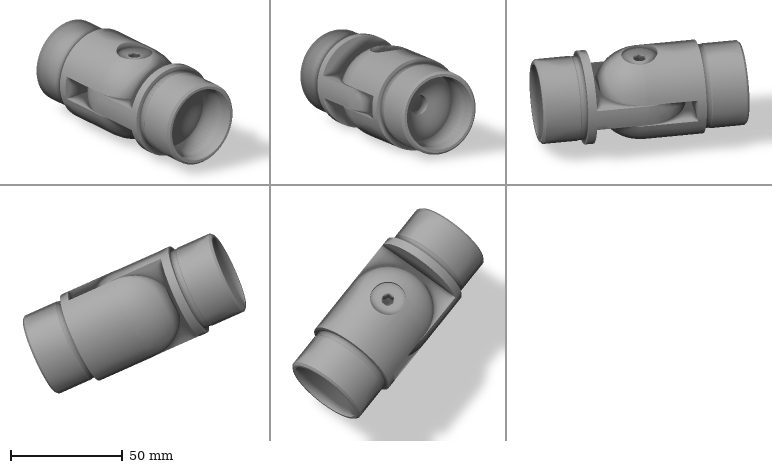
import cadquery as cq
import math

total_length = 94.0
body_diameter = 42.4
body_radius = body_diameter / 2
half_length = total_length / 2

spigot_radius = 19.2
bore_radius = 16.9
end_chamfer = 1.0
shoulder_x = 27.0
neck_radius = 18.9
neck_end_x = 29.7
neck_taper_length = 0.4
bore_floor_x = 28.0

wall_x = 23.0
slot_half_height = 5.45
web_hole_radius = 4.5
tongue_half_height = 5.0
fork_tip_x = 19.1

shaft_radius = 4.2
shaft_end_z = -14.1
head_radius = 8.1
head_top_z = 18.2
head_height = 7.5
head_bottom_z = head_top_z - head_height
socket_width = 5.0
socket_depth = 5.0
socket_countersink_radius = 3.0
socket_turn = 30.0
socket_tip_angle = 118.0


def cylinder_z(radius, bottom_z, top_z):
    """Cylinder on the hinge axis between two heights."""
    return cq.Workplane("XY").workplane(offset=bottom_z).circle(radius).extrude(top_z - bottom_z)


def slab(x_start, x_end, half_height):
    """Block wider than the body in Y, centred on the XY plane."""
    return cq.Workplane("XY").box(
        x_end - x_start, 2 * total_length, 2 * half_height, centered=(False, True, True)
    ).translate((x_start, 0, 0))


def revolved_end():
    """Half of the joint on +X: round-nosed body with the hollow spigot, solid of revolution about X."""
    nose_mid = body_radius * math.sqrt(0.5)
    return (
        cq.Workplane("XY")
        .moveTo(-body_radius, 0)
        .threePointArc((-nose_mid, nose_mid), (0, body_radius))
        .lineTo(shoulder_x, body_radius)
        .lineTo(shoulder_x, neck_radius)
        .lineTo(neck_end_x, neck_radius)
        .lineTo(neck_end_x + neck_taper_length, spigot_radius)
        .lineTo(half_length - end_chamfer, spigot_radius)
        .lineTo(half_length, spigot_radius - end_chamfer)
        .lineTo(half_length, bore_radius)
        .lineTo(bore_floor_x, bore_radius)
        .lineTo(bore_floor_x, 0)
        .close()
        .revolve(360, (0, 0, 0), (1, 0, 0))
    )


def make_fork():
    """Slotted half, spigot on -X, holed web between bore and slot, counterbored for the hinge screw."""
    fork = revolved_end().rotate((0, 0, 0), (0, 0, 1), 180)
    fork = fork.cut(slab(-wall_x, total_length, slot_half_height))
    fork = fork.cut(slab(fork_tip_x, total_length, total_length))
    web_hole = cq.Workplane("YZ").circle(web_hole_radius).extrude(-half_length)
    fork = fork.cut(web_hole)
    fork = fork.cut(cylinder_z(shaft_radius, shaft_end_z, head_top_z))
    return fork.cut(cylinder_z(head_radius, head_bottom_z, total_length))


def make_tongue():
    """Half with the flat tongue, spigot on +X, drilled for the screw shaft."""
    tongue = revolved_end()
    beside_tongue = slab(-total_length, wall_x, total_length).cut(
        slab(-total_length, wall_x, tongue_half_height)
    )
    tongue = tongue.cut(beside_tongue)
    return tongue.cut(cylinder_z(shaft_radius, -tongue_half_height, tongue_half_height))


def socket_tool():
    """Hexagon socket with a conical bottom and a 45 degree countersunk mouth."""
    corner_radius = socket_width / math.sqrt(3)
    half_width = socket_width / 2
    tip_depth = half_width / math.tan(math.radians(socket_tip_angle / 2))
    hexagon = (
        cq.Workplane("XY")
        .workplane(offset=head_top_z)
        .polygon(6, 2 * corner_radius)
        .extrude(-socket_depth)
        .rotate((0, 0, 0), (0, 0, 1), socket_turn)
    )
    floor_z = head_top_z - socket_depth
    tip = cq.Workplane(cq.Solid.makeCone(
        half_width, 0, tip_depth, cq.Vector(0, 0, floor_z), cq.Vector(0, 0, -1)))
    mouth = cq.Workplane(cq.Solid.makeCone(
        socket_countersink_radius, 0, socket_countersink_radius,
        cq.Vector(0, 0, head_top_z), cq.Vector(0, 0, -1)))
    return hexagon.union(tip).union(mouth)


def make_screw():
    """Hinge screw: plain shaft with a cylindrical socket head."""
    shaft = cylinder_z(shaft_radius, shaft_end_z, head_bottom_z)
    head = cylinder_z(head_radius, head_bottom_z, head_top_z)
    return shaft.union(head).cut(socket_tool())


fork = make_fork()
tongue = make_tongue()
screw = make_screw()

result = cq.Compound.makeCompound([fork.val(), tongue.val(), screw.val()])